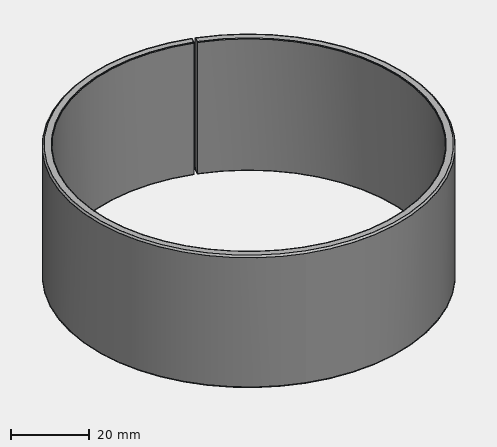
import cadquery as cq

OUTER_DIAMETER = 105.0
WALL_THICKNESS = 2.5
LENGTH = 40.0

OUTER_CHAMFER = 0.5
INNER_CHAMFER = 0.2

SPLIT_WIDTH = 0.9

outer_radius = OUTER_DIAMETER / 2
inner_radius = outer_radius - WALL_THICKNESS
half_length = LENGTH / 2


def closed_ring():
    """Chamfered wall cross-section revolved around Z, centred on the origin."""
    wall_section = cq.Workplane("XZ").polyline([
        (outer_radius, -half_length + OUTER_CHAMFER),
        (outer_radius, half_length - OUTER_CHAMFER),
        (outer_radius - OUTER_CHAMFER, half_length),
        (inner_radius + INNER_CHAMFER, half_length),
        (inner_radius, half_length - INNER_CHAMFER),
        (inner_radius, -half_length + INNER_CHAMFER),
        (inner_radius + INNER_CHAMFER, -half_length),
        (outer_radius - OUTER_CHAMFER, -half_length),
    ]).close()
    return wall_section.revolve(360, (0, 0, 0), (0, 1, 0))


def split_cutter():
    """Block from the Z axis out past the -X wall, lying on the +Y side of the XZ plane."""
    reach = outer_radius + WALL_THICKNESS
    return cq.Workplane("XY").box(reach, SPLIT_WIDTH, LENGTH).translate((-reach / 2, SPLIT_WIDTH / 2, 0))


result = closed_ring().cut(split_cutter())